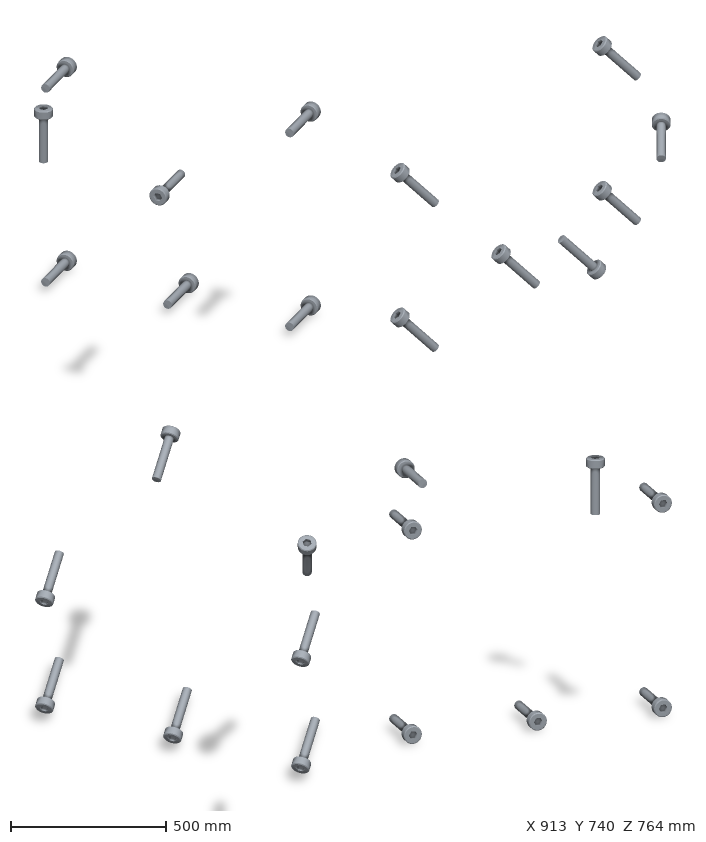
import cadquery as cq
import math

head_diameter = 60.0
head_height = 30.0
head_chamfer = 3.0
shank_diameter = 30.0
shank_length = 160.0
socket_across_flats = 26.0
socket_depth = 15.0

overall_width = 913.0
overall_depth = 740.0
overall_height = 764.0
row_height = 690.5
front_screw_x = 200.0
front_screw_z = 660.0
upright_screw_x = -340.0
upright_screw_y = -410.0

corner_x = (overall_width - head_diameter) / 2
upright_top_z = overall_height - head_diameter / 2

TO_REAR = (0, 1, 0)
TO_FRONT = (0, -1, 0)
UPWARD = (0, 0, 1)


def make_screw(head_center, head_direction):
    """Screw with the centre of its outer head face at head_center."""
    top_plane = cq.Plane(origin=head_center, xDir=(1, 0, 0), normal=head_direction)
    head = (
        cq.Workplane(top_plane)
        .circle(head_diameter / 2)
        .extrude(-head_height)
        .edges()
        .chamfer(head_chamfer)
    )
    shank = (
        cq.Workplane(top_plane)
        .workplane(offset=-head_height)
        .circle(shank_diameter / 2)
        .extrude(-shank_length)
    )
    socket_corner_diameter = socket_across_flats / math.cos(math.pi / 6)
    socket = cq.Workplane(top_plane).polygon(6, socket_corner_diameter).extrude(-socket_depth)
    return head.union(shank).cut(socket).val()


rear_positions = [
    (-corner_x, 0),
    (0, 0),
    (corner_x, 0),
    (-corner_x, row_height),
    (corner_x, row_height),
]
rear_screws = [make_screw((x, 0, z), TO_REAR) for x, z in rear_positions]

front_screw = make_screw((front_screw_x, -overall_depth, front_screw_z), TO_FRONT)

upright_screw = make_screw((upright_screw_x, upright_screw_y, upright_top_z), UPWARD)

result = cq.Compound.makeCompound([*rear_screws, front_screw, upright_screw])